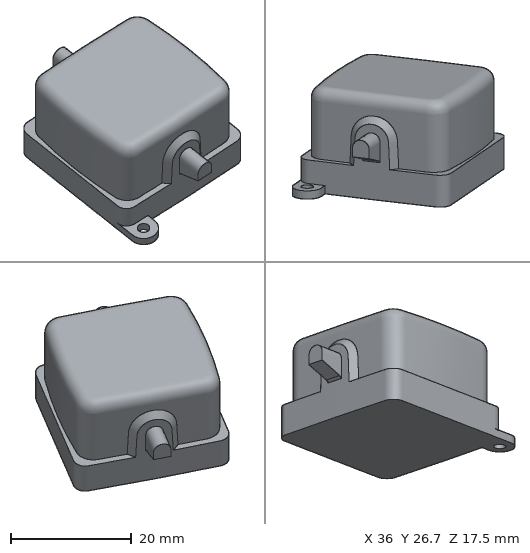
import cadquery as cq
import math

BASE_LENGTH_Y = 26.7
BASE_WIDTH_X = 26.42
BASE_HEIGHT = 5.5
BASE_CORNER_RADIUS = 2.0
SIDE_BULGE = 0.15

TOTAL_HEIGHT = 17.5
DOME_WIDTH_X = 24.2
DOME_LENGTH_Y = 23.98
DOME_CORNER_RADIUS = 3.0
DOME_TOP_FILLET = 2.0
DOME_END_BULGE = 0.83

EAR_THICKNESS = 1.45
EAR_RADIUS = 2.5
EAR_HOLE_DIAMETER = 2.0
EAR_CENTER_X = 14.95
EAR_CENTER_Y = EAR_RADIUS - BASE_LENGTH_Y / 2

OUTLET_FACE_X = BASE_WIDTH_X / 2 + SIDE_BULGE
CABLE_TIP_X = 18.0
CABLE_AXIS_Z = 10.0
CABLE_RADIUS = 1.5
CABLE_ROOT_Z = 6.55
CABLE_ROOT_CHAMFER = 0.4
BOSS_RADIUS = 3.0
BOSS_FOOT_HALF_WIDTH = 3.2
BOSS_TAPER_ANGLE = 45
BOSS_DEPTH = 1.8


def ridged_block(width, length, height, end_bulge, corner_radius):
    """Upright block with X sides ridged at mid-length, bowed Y ends and rounded corners."""
    x = width / 2
    y = length / 2
    ridge_x = x + SIDE_BULGE
    outline = cq.Workplane("XY").moveTo(-x, -y)
    if end_bulge:
        outline = outline.threePointArc((0, -y - end_bulge), (x, -y))
    else:
        outline = outline.lineTo(x, -y)
    outline = outline.lineTo(ridge_x, 0).lineTo(x, y)
    if end_bulge:
        outline = outline.threePointArc((0, y + end_bulge), (-x, y))
    else:
        outline = outline.lineTo(-x, y)
    block = outline.lineTo(-ridge_x, 0).close().extrude(height)
    return block.edges("|Z").edges("<Y or >Y").fillet(corner_radius)


def make_base(height):
    return ridged_block(BASE_WIDTH_X, BASE_LENGTH_Y, height, 0, BASE_CORNER_RADIUS)


def make_dome():
    dome = ridged_block(DOME_WIDTH_X, DOME_LENGTH_Y, TOTAL_HEIGHT, DOME_END_BULGE, DOME_CORNER_RADIUS)
    return dome.faces(">Z").edges().fillet(DOME_TOP_FILLET)


def make_ear():
    """Flat ear with a rounded end, running back under the base corner."""
    inner_x = BASE_WIDTH_X / 2 - BASE_CORNER_RADIUS
    neck_length = EAR_CENTER_X - inner_x
    neck = (
        cq.Workplane("XY")
        .center(inner_x + neck_length / 2, EAR_CENTER_Y)
        .rect(neck_length, 2 * EAR_RADIUS)
        .extrude(EAR_THICKNESS)
    )
    tip = cq.Workplane("XY").center(EAR_CENTER_X, EAR_CENTER_Y).circle(EAR_RADIUS).extrude(EAR_THICKNESS)
    return neck.union(tip)


def make_outlet_boss():
    """Arched boss on the +X side, widening toward the dome."""
    drop = CABLE_AXIS_Z - BASE_HEIGHT
    foot_distance = math.hypot(BOSS_FOOT_HALF_WIDTH, drop)
    lean = math.acos(BOSS_RADIUS / foot_distance) - math.atan2(drop, BOSS_FOOT_HALF_WIDTH)
    spring_y = BOSS_RADIUS * math.cos(lean)
    spring_z = CABLE_AXIS_Z + BOSS_RADIUS * math.sin(lean)
    floor_y = spring_y + spring_z * math.tan(lean)
    boss = (
        cq.Workplane("YZ", origin=(OUTLET_FACE_X, 0, 0))
        .moveTo(-floor_y, 0)
        .lineTo(-spring_y, spring_z)
        .threePointArc((0, CABLE_AXIS_Z + BOSS_RADIUS), (spring_y, spring_z))
        .lineTo(floor_y, 0)
        .close()
        .extrude(-BOSS_DEPTH, taper=-BOSS_TAPER_ANGLE)
    )
    above_base = make_base(TOTAL_HEIGHT).cut(make_base(BASE_HEIGHT))
    return boss.intersect(above_base)


def make_cable():
    """Round-topped cable stub on the +X side with a sloped web below it."""
    start_x = OUTLET_FACE_X - BOSS_DEPTH
    rod = (
        cq.Workplane("YZ", origin=(start_x, 0, CABLE_AXIS_Z))
        .circle(CABLE_RADIUS)
        .extrude(CABLE_TIP_X - start_x)
    )
    web = (
        cq.Workplane("XZ")
        .moveTo(start_x, CABLE_AXIS_Z)
        .lineTo(CABLE_TIP_X, CABLE_AXIS_Z)
        .lineTo(CABLE_TIP_X, CABLE_AXIS_Z - CABLE_RADIUS)
        .lineTo(OUTLET_FACE_X + CABLE_ROOT_CHAMFER, CABLE_ROOT_Z + CABLE_ROOT_CHAMFER)
        .lineTo(OUTLET_FACE_X, CABLE_ROOT_Z)
        .lineTo(start_x, CABLE_ROOT_Z)
        .close()
        .extrude(CABLE_RADIUS, both=True)
    )
    return rod.union(web)


body = make_base(BASE_HEIGHT).union(make_dome()).union(make_ear())
outlet = make_outlet_boss().union(make_cable())
body = body.union(outlet).union(outlet.mirror("YZ"))

ear_hole = (
    cq.Workplane("XY")
    .center(EAR_CENTER_X, EAR_CENTER_Y)
    .circle(EAR_HOLE_DIAMETER / 2)
    .extrude(EAR_THICKNESS)
)
result = body.cut(ear_hole)